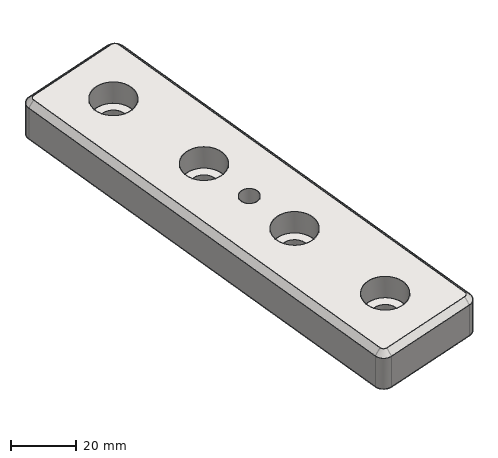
import cadquery as cq

length = 160.0
width = length / 4
height = 15.0
corner_radius = 3.5
top_chamfer = 2.0

hole_count = 4
hole_pitch = length / hole_count
hole_diameter = 9.0
counterbore_diameter = 15.0
counterbore_depth = 9.0

center_hole_diameter = 6.7


def make_plate():
    """Block with rounded vertical corners and a chamfered top rim."""
    block = cq.Workplane("XY").box(length, width, height, centered=(True, True, False))
    rounded = block.edges("|Z").fillet(corner_radius)
    return rounded.faces(">Z").chamfer(top_chamfer)


def cut_holes(plate):
    """Cut the row of counterbored holes and the small centre hole."""
    with_row = (
        plate.faces(">Z")
        .workplane(origin=(0, 0, height))
        .rarray(hole_pitch, 1.6, hole_count, 1)
        .cboreHole(hole_diameter, counterbore_diameter, counterbore_depth)
    )
    return with_row.faces(">Z").workplane(origin=(0, 0, height)).hole(center_hole_diameter)


result = cut_holes(make_plate())